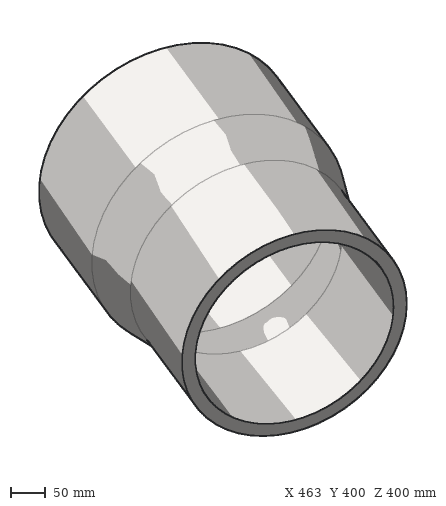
import cadquery as cq

total_length = 463.0
wide_length = 189.5
taper_length = 87.5
wide_outer_diameter = 400.0
wide_inner_diameter = 353.0
narrow_outer_diameter = 355.0
narrow_inner_diameter = 313.0

taper_end = wide_length + taper_length


def reducer_body(wide_diameter, narrow_diameter):
    """Solid of revolution about X: wide cylinder, cone, narrow cylinder."""
    wide_radius = wide_diameter / 2
    narrow_radius = narrow_diameter / 2
    return (
        cq.Workplane("XY")
        .moveTo(0, 0)
        .lineTo(0, wide_radius)
        .lineTo(wide_length, wide_radius)
        .lineTo(taper_end, narrow_radius)
        .lineTo(total_length, narrow_radius)
        .lineTo(total_length, 0)
        .close()
        .revolve(360, (0, 0, 0), (1, 0, 0))
    )


outside = reducer_body(wide_outer_diameter, narrow_outer_diameter)
bore = reducer_body(wide_inner_diameter, narrow_inner_diameter)

result = outside.cut(bore)